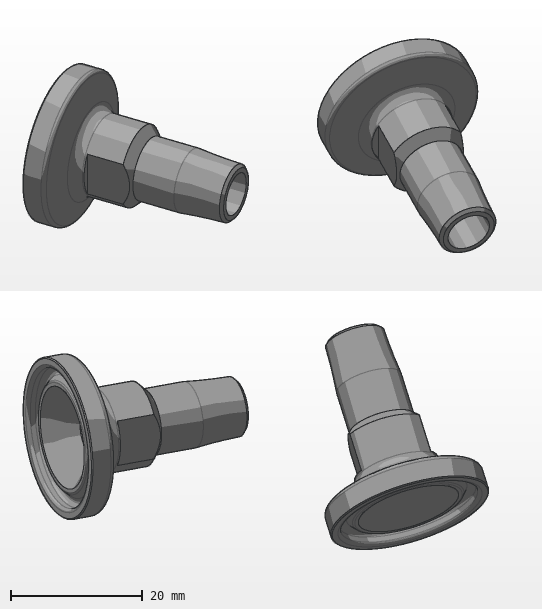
import cadquery as cq
import math

length = 30.0
rim_straight_end = 3.18
hub_start = 7.23
flat_start = 7.5
barrel_start = 15.05
taper_start = 22.02

flange_radius = 25.0 / 2
hub_radius = 6.6
barrel_radius = 5.13
taper_mid_radius = 4.8
tip_radius = 4.65
bore_radius = 3.4

rim_bevel = 0.18
rim_fillet = 0.72
hub_fillet = 2.0
back_angle = math.radians(70)
tip_chamfer = 0.48
flat_half_width = 5.5

lip_depth = 0.85
inlet_radius = 7.92
inlet_half_angle = math.radians(45)

lip_edge_radius = 8.5
lip_round = 0.42
groove_outer_radius = 10.85
groove_rim_round = 0.55
groove_floor_start = 1.38
groove_floor_radius = 0.75
groove_wall_angle = math.radians(39)


def arc_point(center, radius, angle):
    """Point on a circle in the profile plane, as (axial, radial)."""
    return (center[0] + radius * math.cos(angle), center[1] + radius * math.sin(angle))


def make_body():
    """Revolve the outside profile, solid down to the axis."""
    rim_center = (rim_straight_end, flange_radius - rim_fillet)
    rim_mid = arc_point(rim_center, rim_fillet, math.pi / 2 - back_angle / 2)
    rim_end = arc_point(rim_center, rim_fillet, math.pi / 2 - back_angle)
    hub_center = (hub_start, hub_radius + hub_fillet)
    hub_fillet_start = arc_point(hub_center, hub_fillet, -math.pi / 2 - back_angle)
    hub_fillet_mid = arc_point(hub_center, hub_fillet, -math.pi / 2 - back_angle / 2)
    hub_end = barrel_start - (hub_radius - barrel_radius)
    taper_end = length - tip_chamfer
    profile = (
        cq.Workplane("XY")
        .lineTo(0, flange_radius - rim_bevel)
        .lineTo(rim_bevel, flange_radius)
        .lineTo(rim_straight_end, flange_radius)
        .threePointArc(rim_mid, rim_end)
        .lineTo(*hub_fillet_start)
        .threePointArc(hub_fillet_mid, (hub_start, hub_radius))
        .lineTo(hub_end, hub_radius)
        .lineTo(barrel_start, barrel_radius)
        .lineTo(taper_start, barrel_radius)
        .threePointArc(((taper_start + taper_end) / 2, taper_mid_radius), (taper_end, tip_radius))
        .lineTo(length, tip_radius - tip_chamfer)
        .lineTo(length, 0)
        .close()
    )
    return profile.revolve(360, (0, 0, 0), (1, 0, 0))


def make_bore():
    """Through bore with its conical inlet, including the recess in front of the lip."""
    inlet_length = (inlet_radius - bore_radius) / math.tan(inlet_half_angle)
    profile = (
        cq.Workplane("XY")
        .lineTo(0, lip_edge_radius)
        .lineTo(lip_depth, lip_edge_radius)
        .lineTo(lip_depth, inlet_radius)
        .lineTo(lip_depth + inlet_length, bore_radius)
        .lineTo(length, bore_radius)
        .lineTo(length, 0)
        .close()
    )
    return profile.revolve(360, (0, 0, 0), (1, 0, 0))


def make_groove():
    """Annular groove: rounded rim, straight outer wall, round floor and sloped inner wall."""
    lip_center = (lip_depth + lip_round, lip_edge_radius)
    lip_mid = arc_point(lip_center, lip_round, math.pi * 3 / 4 + groove_wall_angle / 2)
    lip_end = arc_point(lip_center, lip_round, math.pi / 2 + groove_wall_angle)
    floor_center = (groove_floor_start, groove_outer_radius - groove_floor_radius)
    floor_mid = arc_point(floor_center, groove_floor_radius, 0)
    floor_end = arc_point(floor_center, groove_floor_radius, groove_wall_angle - math.pi / 2)
    rim_center = (groove_rim_round, groove_outer_radius + groove_rim_round)
    rim_mid = arc_point(rim_center, groove_rim_round, -math.pi * 3 / 4)
    profile = (
        cq.Workplane("XY")
        .moveTo(0, lip_edge_radius)
        .lineTo(lip_depth, lip_edge_radius)
        .threePointArc(lip_mid, lip_end)
        .lineTo(*floor_end)
        .threePointArc(floor_mid, (groove_floor_start, groove_outer_radius))
        .lineTo(groove_rim_round, groove_outer_radius)
        .threePointArc(rim_mid, (0, groove_outer_radius + groove_rim_round))
        .close()
    )
    return profile.revolve(360, (0, 0, 0), (1, 0, 0))


def make_flat_cutter(side):
    """Block that trims the hub to a wrench flat on the given Y side."""
    width = 2 * hub_radius
    depth = hub_radius
    return cq.Workplane("XY").box(barrel_start - flat_start, depth, width).translate(
        ((flat_start + barrel_start) / 2, side * (flat_half_width + depth / 2), 0)
    )


result = make_body().cut(make_bore()).cut(make_groove())
for side in (-1, 1):
    result = result.cut(make_flat_cutter(side))